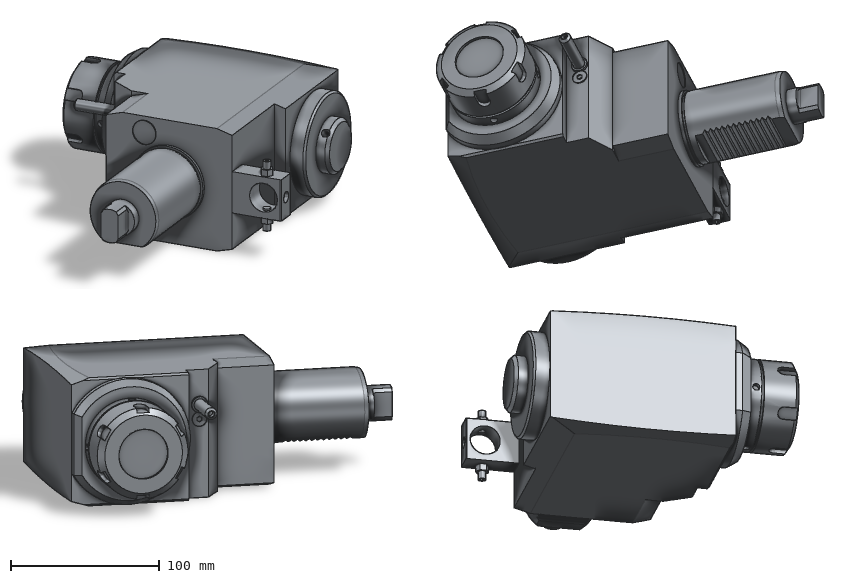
import cadquery as cq


height = 88.0
half_height = height / 2
back_y = 38.2
front_y = -109.2
step_y = -43.5
slant_start_y = -59.0
slant_end_y = -70.0
head_left_x = -72.7
neck_left_x = -64.5
base_left_x = -47.0
base_right_x = 46.8
head_right_x = 55.0
edge_chamfer = 1.5
left_bevel_width = 12.2
left_bevel_drop = 3.5
right_bevel_width = 19.5
right_bevel_drop = 5.3
back_bevel_width = 8.5
back_bevel_drop = 2.6
back_bevel_center_x = -18.0
back_bevel_radius = 345.5

shank_radius = 25.2
shank_end_y = -181.0
shank_chamfer_length = 3.0
shank_chamfer_depth = 0.7
collar_radius = 26.2
collar_length = 2.5
neck_radius = 24.5
neck_length = 1.5
rack_flat_z = -20.0
rack_flat_start = 8.6
tooth_pitch = 4.0
tooth_count = 12
tooth_depth = 1.7
first_tooth_start = 14.0
tang_radius = 12.0
tang_step_y = -188.2
tang_end_y = -201.8
tang_thickness = 13.0
tang_edge_chamfer = 1.7
tang_root_fillet = 1.2

nut_face_x = -118.8
nut_radius = 31.5
nut_face_radius = 27.0
nut_chamfer_length = 3.0
nut_groove_x = -94.0
nut_groove_width = 2.0
nut_groove_depth = 2.0
collet_radius = 17.0
collet_recess = 2.0
slot_count = 6
slot_width = 8.5
slot_length = 14.6
slot_floor_radius = 28.3
ring_hole_x = -88.3
ring_hole_radius = 2.5
ring_hole_depth = 3.5
ring_hole_count = 4
flange_face_x = -84.0
flange_radius = 43.2
flange_back_y = 37.7
flange_face_radius = 39.0
flange_chamfer_length = 6.5

cap_radius = 36.5
cap_end_x = 66.0
cap_chamfer = 1.5
hub_radius = 19.5
hub_end_x = 75.0
hub_chamfer = 2.5
hub_hole_x = 70.5
hub_hole_angle = 45
hub_hole_radius = 3.0
hub_hole_depth = 9.5

bracket_end_x = 83.3
bracket_back_y = -93.8
bracket_front_y = -109.0
bracket_half_height = 15.0
bracket_hole_x = 70.0
bracket_hole_radius = 10.3
bracket_cross_hole_radius = 3.8
bracket_end_chamfer = 0.7
screw_y = -103.7
screw_radius = 2.6
screw_top_z = 25.0
lock_nut_corners = 9.0
lock_nut_height = 4.5
screw_socket = 3.0
screw_socket_depth = 2.0

nozzle_y = -52.8
nozzle_z = 20.2
nozzle_tip_x = -97.2
nozzle_radius = 4.0
nozzle_chamfer = 1.7
nozzle_bore_radius = 2.0
nozzle_bore_depth = 4.8
nozzle_collar_radius = 5.5
nozzle_collar_length = 1.7
side_plug_z = 10.0
side_plug_radius = 5.0
side_plug_height = 0.7
side_plug_socket = 3.8
front_plug_x = -18.7
front_plug_z = 32.2
front_plug_radius = 8.6
front_plug_recess = 0.7

overlap = 2.5


def x_cylinder(start_x, end_x, radius, y=0.0, z=0.0):
    """Cylinder parallel to X between two X positions."""
    return cq.Workplane("YZ", origin=(start_x, y, z)).circle(radius).extrude(end_x - start_x)


def y_cylinder(start_y, end_y, radius, x=0.0, z=0.0):
    """Cylinder parallel to Y running from start_y down to end_y."""
    return cq.Workplane("XZ", origin=(x, start_y, z)).circle(radius).extrude(start_y - end_y)


def radial_cutter(x, angle, surface_radius, depth, radius):
    """Cylinder pointing at the spindle axis; the angle is measured from +Z toward -Y."""
    cutter = cq.Workplane("XY", origin=(x, 0, surface_radius - depth)).circle(radius).extrude(depth + overlap)
    return cutter.rotate((0, 0, 0), (1, 0, 0), angle)


def top_and_bottom(cutter):
    return cutter.union(cutter.mirror("XY"))


def edge_bevel(edge_x, width, drop, start_y, end_y):
    """Wedge that bevels the long top edge at edge_x; a negative width runs toward -X."""
    profile = [
        (edge_x, half_height - drop),
        (edge_x + width, half_height),
        (edge_x, half_height + overlap),
        (edge_x - width, half_height + overlap),
        (edge_x - width, half_height - 2 * drop),
    ]
    return cq.Workplane("XZ", origin=(0, end_y, 0)).polyline(profile).close().extrude(end_y - start_y)


def back_bevel():
    """Ring with a wide conical underside that bevels the top back edge."""
    slope = back_bevel_drop / back_bevel_width
    reach = 3 * back_bevel_width
    profile = [
        (back_bevel_radius, half_height),
        (back_bevel_radius + reach, half_height - slope * reach),
        (back_bevel_radius + reach, half_height + overlap),
        (back_bevel_radius, half_height + overlap),
    ]
    ring_center_y = back_y - back_bevel_width - back_bevel_radius
    ring = cq.Workplane("XZ").polyline(profile).close().revolve(360, (0, 0, 0), (0, 1, 0))
    return ring.translate((back_bevel_center_x, ring_center_y, 0))


def housing():
    outline = [
        (head_left_x, back_y),
        (head_right_x, back_y),
        (head_right_x, step_y),
        (base_right_x, step_y),
        (base_right_x, front_y),
        (base_left_x, front_y),
        (base_left_x, slant_end_y),
        (neck_left_x, slant_start_y),
        (neck_left_x, step_y),
        (head_left_x, step_y),
    ]
    body = cq.Workplane("XY").workplane(offset=-half_height).polyline(outline).close().extrude(height)
    bevels = [
        edge_bevel(base_left_x, left_bevel_width, left_bevel_drop, front_y - overlap, slant_end_y),
        edge_bevel(head_right_x, -right_bevel_width, right_bevel_drop, front_y - overlap, back_y + overlap),
        edge_bevel(head_left_x, edge_chamfer, edge_chamfer, step_y, back_y + overlap),
        back_bevel(),
    ]
    for bevel in bevels:
        body = body.cut(top_and_bottom(bevel))
    return body


def shank():
    collar_end_y = front_y - collar_length
    neck_end_y = collar_end_y - neck_length
    chamfer_y = shank_end_y + shank_chamfer_length
    profile = [
        (0, front_y + overlap),
        (collar_radius, front_y + overlap),
        (collar_radius, collar_end_y),
        (neck_radius, collar_end_y),
        (neck_radius, neck_end_y),
        (shank_radius, neck_end_y),
        (shank_radius, chamfer_y),
        (shank_radius - shank_chamfer_depth, shank_end_y),
        (0, shank_end_y),
    ]
    body = cq.Workplane("XY").polyline(profile).close().revolve(360, (0, 0, 0), (0, 1, 0))
    return body.cut(rack_cutter())


def rack_cutter():
    """Flat along the underside of the shank with V grooves cut across it."""
    start_y = front_y - rack_flat_start
    first_y = front_y - first_tooth_start
    points = [(shank_end_y - overlap, -shank_radius - overlap), (start_y, -shank_radius - overlap)]
    points.append((start_y, rack_flat_z))
    for tooth in range(tooth_count):
        groove_y = first_y - tooth * tooth_pitch
        points.append((groove_y, rack_flat_z))
        points.append((groove_y - tooth_pitch / 2, rack_flat_z + tooth_depth))
    points.append((first_y - tooth_count * tooth_pitch, rack_flat_z))
    points.append((shank_end_y - overlap, rack_flat_z))
    return cq.Workplane("YZ").polyline(points).close().extrude(shank_radius, both=True)


def tang():
    """Round stub ending in a blade with two flats parallel to YZ."""
    stub = y_cylinder(shank_end_y + overlap, tang_step_y, tang_radius)
    blade = y_cylinder(tang_step_y, tang_end_y, tang_radius)
    flats = cq.Workplane("XZ", origin=(0, tang_step_y, 0)).rect(tang_thickness, 3 * tang_radius)
    blade = blade.intersect(flats.extrude(tang_step_y - tang_end_y))
    blade = blade.edges("|Y").chamfer(tang_edge_chamfer)
    return stub.union(blade).faces("|X").edges(">Y").fillet(tang_root_fillet)


def nut_slot():
    """Spanner slot at the top of the nut, open at the face and rounded at its inner end."""
    round_x = nut_face_x + slot_length - slot_width / 2
    straight = round_x - nut_face_x + overlap
    depth = nut_radius - slot_floor_radius + overlap
    start = cq.Workplane("XY", origin=(round_x, 0, slot_floor_radius))
    slot = start.center(-straight / 2, 0).rect(straight, slot_width).extrude(depth)
    return slot.union(start.circle(slot_width / 2).extrude(depth))


def collet_nut():
    groove_radius = nut_radius - nut_groove_depth
    groove_end_x = nut_groove_x + nut_groove_width
    profile = [
        (nut_face_x, 0),
        (nut_face_x, nut_face_radius),
        (nut_face_x + nut_chamfer_length, nut_radius),
        (nut_groove_x, nut_radius),
        (nut_groove_x, groove_radius),
        (groove_end_x, groove_radius),
        (groove_end_x, nut_radius),
        (flange_face_x + overlap, nut_radius),
        (flange_face_x + overlap, 0),
    ]
    nut = cq.Workplane("XY").polyline(profile).close().revolve(360, (0, 0, 0), (1, 0, 0))
    nut = nut.cut(x_cylinder(nut_face_x, nut_face_x + collet_recess, collet_radius))
    for index in range(slot_count):
        nut = nut.cut(nut_slot().rotate((0, 0, 0), (1, 0, 0), index * 360 / slot_count))
    for index in range(ring_hole_count):
        angle = index * 360 / ring_hole_count
        nut = nut.cut(radial_cutter(ring_hole_x, angle, nut_radius, ring_hole_depth, ring_hole_radius))
    return nut


def spindle_flange():
    """Chamfered disc trimmed flat on its back side, the trimmed edge chamfered as well."""
    chamfer_end_x = flange_face_x + flange_chamfer_length
    end_x = head_left_x + overlap
    chamfer_depth = flange_radius - flange_face_radius
    profile = [
        (flange_face_x, 0),
        (flange_face_x, flange_face_radius),
        (chamfer_end_x, flange_radius),
        (head_left_x, flange_radius),
        (head_left_x, 0),
    ]
    disc = cq.Workplane("XY").polyline(profile).close().revolve(360, (0, 0, 0), (1, 0, 0))
    trim = [
        (flange_face_x, -flange_radius),
        (flange_face_x, flange_back_y - chamfer_depth),
        (chamfer_end_x, flange_back_y),
        (end_x, flange_back_y),
        (end_x, -flange_radius),
    ]
    return disc.intersect(cq.Workplane("XY").polyline(trim).close().extrude(flange_radius, both=True))


def rear_cap():
    cap = x_cylinder(head_right_x - overlap, cap_end_x, cap_radius).faces(">X").chamfer(cap_chamfer)
    hub = x_cylinder(cap_end_x - overlap, hub_end_x, hub_radius).faces(">X").chamfer(hub_chamfer)
    hub = hub.cut(radial_cutter(hub_hole_x, hub_hole_angle, hub_radius, hub_hole_depth, hub_hole_radius))
    return cap.union(hub)


def set_screw():
    """Upper set screw and lock nut, reaching down to the bracket hole."""
    start_z = bracket_hole_radius - screw_radius / 2
    rod = cq.Workplane("XY", origin=(bracket_hole_x, screw_y, start_z)).circle(screw_radius)
    rod = rod.extrude(screw_top_z - start_z)
    nut = cq.Workplane("XY", origin=(bracket_hole_x, screw_y, bracket_half_height))
    screw = rod.union(nut.polygon(6, lock_nut_corners).extrude(lock_nut_height))
    socket = cq.Workplane("XY", origin=(bracket_hole_x, screw_y, screw_top_z)).polygon(6, screw_socket)
    return screw.cut(socket.extrude(-screw_socket_depth))


def bracket():
    start_x = base_right_x - overlap
    thickness = bracket_back_y - bracket_front_y
    center = ((start_x + bracket_end_x) / 2, bracket_back_y - thickness / 2, 0)
    plate = cq.Workplane("XY", origin=center).box(bracket_end_x - start_x, thickness, 2 * bracket_half_height)
    plate = plate.edges("|Z and >X").chamfer(bracket_end_chamfer)
    cross_hole = x_cylinder(bracket_hole_x, bracket_end_x, bracket_cross_hole_radius, y=center[1])
    plate = plate.cut(cross_hole)
    plate = plate.cut(y_cylinder(bracket_back_y, bracket_front_y, bracket_hole_radius, x=bracket_hole_x))
    return plate.union(top_and_bottom(set_screw()))


def coolant_nozzle():
    tube = x_cylinder(nozzle_tip_x, neck_left_x + overlap, nozzle_radius, nozzle_y, nozzle_z)
    tube = tube.faces("<X").chamfer(nozzle_chamfer)
    bore_end_x = nozzle_tip_x + nozzle_bore_depth
    tube = tube.cut(x_cylinder(nozzle_tip_x, bore_end_x, nozzle_bore_radius, nozzle_y, nozzle_z))
    collar_x = neck_left_x - nozzle_collar_length
    return tube.union(x_cylinder(collar_x, neck_left_x, nozzle_collar_radius, nozzle_y, nozzle_z))


def side_plug():
    plug_x = neck_left_x - side_plug_height
    plug = x_cylinder(plug_x, neck_left_x, side_plug_radius, nozzle_y, side_plug_z)
    socket = cq.Workplane("YZ", origin=(plug_x, nozzle_y, side_plug_z)).transformed(rotate=(0, 0, 90))
    return plug.cut(socket.polygon(6, side_plug_socket).extrude(side_plug_height))


def front_plug_cutter():
    return y_cylinder(front_y + front_plug_recess, front_y, front_plug_radius, front_plug_x, front_plug_z)


result = housing().cut(front_plug_cutter())
for feature in (
    shank(),
    tang(),
    collet_nut(),
    spindle_flange(),
    rear_cap(),
    bracket(),
    coolant_nozzle(),
    side_plug(),
):
    result = result.union(feature)